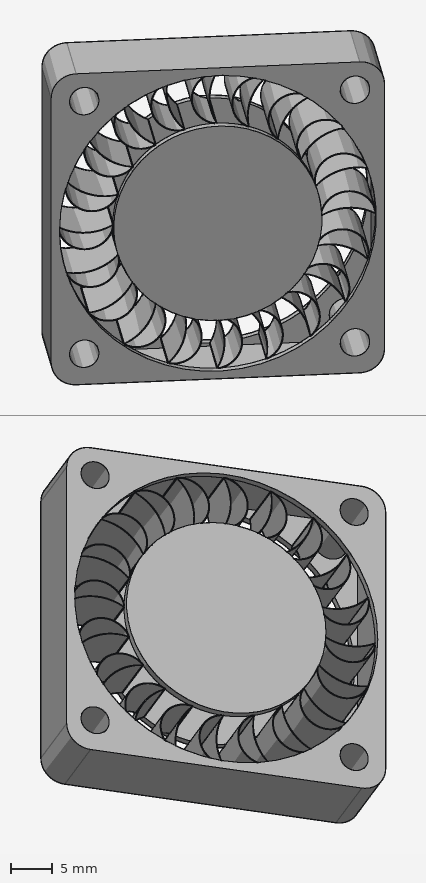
import cadquery as cq
import math

side = 40.0
depth = 10.0
turn_angle = math.radians(60)
corner_radius = 3.0
plate_thickness = 1.0
wall_thickness = 0.6

opening_diameter = 38.0
hub_diameter = 25.0
hole_diameter = 3.5
hole_spacing = 32.5
hole_shift = 0.2
pillar_diameter = 4.15

blade_count = 20
joint_overlap = 0.1
vane_thickness = 0.1
deep_bulge = 3.1
shallow_bulge = 0.95

cavity_depth = depth - 2 * plate_thickness
cavity_side = side - 2 * wall_thickness
blade_inner = hub_diameter / 2 - joint_overlap
blade_outer = opening_diameter / 2 + joint_overlap

fan_plane = cq.Plane(
    origin=(0, 0, 0),
    xDir=(-math.cos(turn_angle), -math.sin(turn_angle), 0),
    normal=(-math.sin(turn_angle), math.cos(turn_angle), 0),
)


def square_block(width, height, radius):
    """Square block centred on the fan plane, with rounded corners."""
    block = cq.Workplane(fan_plane).rect(width, width).extrude(height / 2, both=True)
    depth_edges = cq.selectors.ParallelDirSelector(fan_plane.zDir)
    return block.edges(depth_edges).fillet(radius)


def centred_cylinder(diameter, height):
    return cq.Workplane(fan_plane).circle(diameter / 2).extrude(height / 2, both=True)


def corner_cylinders(diameter, height):
    pattern = cq.Workplane(fan_plane).center(-hole_shift, hole_shift)
    corners = pattern.rect(hole_spacing, hole_spacing, forConstruction=True)
    return corners.vertices().circle(diameter / 2).extrude(height / 2, both=True)


def vane(bulge):
    """Thin arched strip between the hub and the opening rim."""
    middle = (blade_inner + blade_outer) / 2
    outline = (
        cq.Workplane(fan_plane)
        .moveTo(blade_inner, 0)
        .threePointArc((middle, -bulge), (blade_outer, 0))
        .lineTo(blade_outer - vane_thickness, 0)
        .threePointArc((middle, vane_thickness - bulge), (blade_inner + vane_thickness, 0))
        .close()
    )
    return outline.extrude(cavity_depth / 2, both=True)


cavity = square_block(cavity_side, cavity_depth, corner_radius - wall_thickness)
housing = square_block(side, depth, corner_radius).cut(cavity)
housing = housing.cut(centred_cylinder(opening_diameter, depth))
housing = housing.union(corner_cylinders(pillar_diameter, depth))
housing = housing.cut(corner_cylinders(hole_diameter, depth))

hub_discs = centred_cylinder(hub_diameter, depth).cut(centred_cylinder(hub_diameter, cavity_depth))

blade = vane(deep_bulge).union(vane(shallow_bulge))
result = housing.union(hub_discs)
for index in range(blade_count):
    angle = index * 360 / blade_count
    result = result.union(blade.rotate((0, 0, 0), fan_plane.zDir.toTuple(), angle))